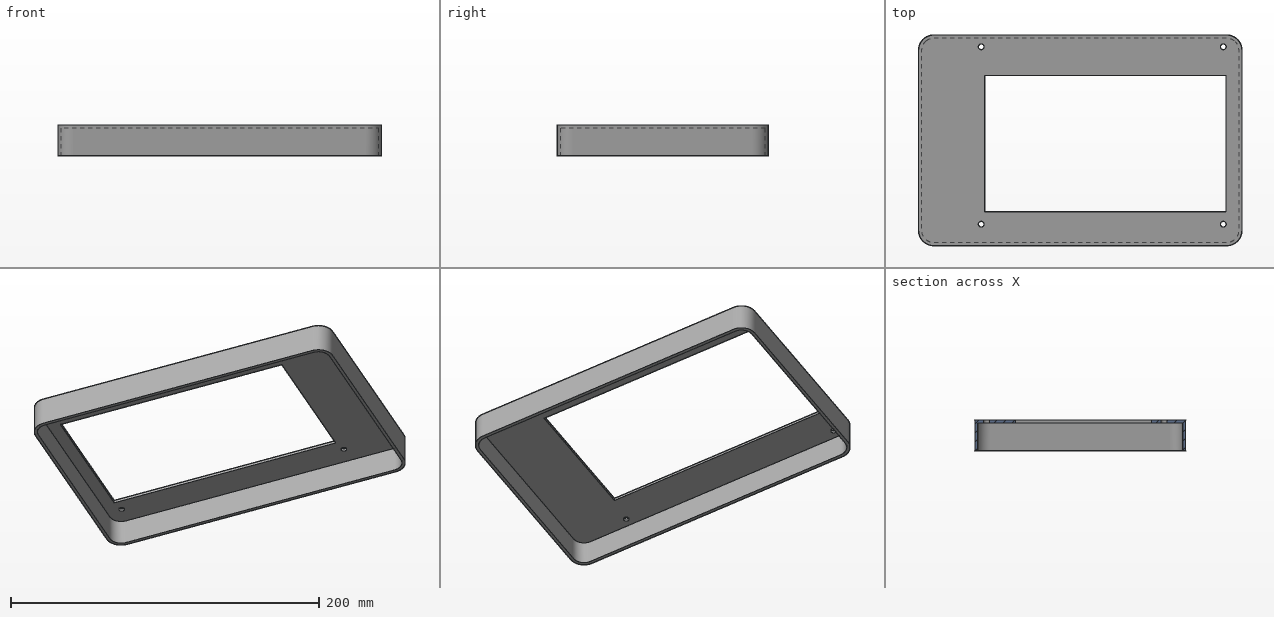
import cadquery as cq

length = 210.0
width = 137.0
height = 20.2
corner_radius = 10.0
wall = 2.0

window_length = 156.5
window_width = 88.2
window_right_margin = 10.5
window_front_margin = 22.3
window_x = length / 2 - window_right_margin - window_length / 2
window_y = -width / 2 + window_front_margin + window_width / 2

hole_diameter = 3.5
hole_spacing_x = 157.0
hole_spacing_y = 115.0
hole_right_margin = 12.2
hole_front_margin = 14.0
hole_x = length / 2 - hole_right_margin - hole_spacing_x / 2
hole_y = -width / 2 + hole_front_margin + hole_spacing_y / 2


def make_cover():
    """Rounded block hollowed from below, with an even wall and top plate."""
    block = cq.Workplane("XY").box(length, width, height, centered=(True, True, False))
    return block.edges("|Z").fillet(corner_radius).faces("<Z").shell(-wall)


def make_window():
    """Rectangular cutter for the display opening."""
    window = cq.Workplane("XY").center(window_x, window_y)
    return window.rect(window_length, window_width).extrude(height)


def make_screw_holes():
    """Four cylindrical cutters around the window."""
    holes = cq.Workplane("XY").center(hole_x, hole_y)
    holes = holes.rarray(hole_spacing_x, hole_spacing_y, 2, 2)
    return holes.circle(hole_diameter / 2).extrude(height)


result = make_cover().cut(make_window()).cut(make_screw_holes())